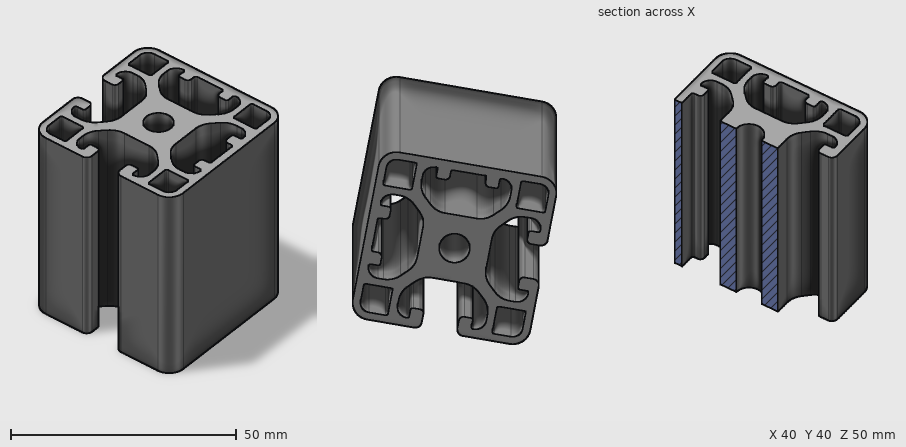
import cadquery as cq
import math

SIDE = 40.0
LENGTH = 50.0
CORNER_RADIUS = 4.0
BORE_DIAMETER = 6.8

BOX_WALL = 1.75
BOX_SIZE = 6.5
BOX_OUTER_RADIUS = CORNER_RADIUS - BOX_WALL
BOX_INNER_RADIUS = 0.5

HALF_SIDE = SIDE / 2
SLOT_FLOOR = 7.75
SLOT_HALF_WIDTH = 10.0
SLOT_CEILING = HALF_SIDE - 2.0
MOUTH_HALF_WIDTH = 4.0
LIP_OUTER = MOUTH_HALF_WIDTH + 3.0
LIP_TIP = HALF_SIDE - 4.5
DIAGONAL_WEB = 3.0
FLANK_OFFSET = DIAGONAL_WEB / math.sqrt(2)

FLANK_RADIUS = 5.0
SHOULDER_RADIUS = 2.5
ROOT_RADIUS = 0.5
LIP_INNER_RADIUS = 1.0
LIP_OUTER_RADIUS = 0.5
MOUTH_RADIUS = 1.5

MIN_STRAIGHT = 0.0005


def rounded_prism(corners):
    """Extrude a closed polygon of (x, y, radius) corners, rounding each with a tangent arc."""
    outline = None
    previous_end = None
    count = len(corners)
    for i, (x, y, radius) in enumerate(corners):
        corner = cq.Vector(x, y)
        to_previous = (cq.Vector(*corners[i - 1][:2]) - corner).normalized()
        to_next = (cq.Vector(*corners[(i + 1) % count][:2]) - corner).normalized()
        half_angle = to_previous.getAngle(to_next) / 2
        tangent_length = radius / math.tan(half_angle)
        arc_depth = radius / math.sin(half_angle) - radius
        start = corner + to_previous * tangent_length
        middle = corner + (to_previous + to_next).normalized() * arc_depth
        end = corner + to_next * tangent_length
        if outline is None:
            outline = cq.Workplane("XY").moveTo(start.x, start.y)
        elif (start - previous_end).Length > MIN_STRAIGHT:
            outline = outline.lineTo(start.x, start.y)
        if radius > 0:
            outline = outline.threePointArc((middle.x, middle.y), (end.x, end.y))
        previous_end = end
    return outline.close().extrude(LENGTH)


def slot(is_open):
    """Slot void on the +Y side, either open to the outside or closed by the outer wall."""
    mouth_end = HALF_SIDE if is_open else SLOT_CEILING
    mouth_end_radius = 0.0 if is_open else ROOT_RADIUS
    right_half = [
        (SLOT_FLOOR - FLANK_OFFSET, SLOT_FLOOR, FLANK_RADIUS),
        (SLOT_HALF_WIDTH, SLOT_HALF_WIDTH + FLANK_OFFSET, FLANK_RADIUS),
        (SLOT_HALF_WIDTH, SLOT_CEILING, SHOULDER_RADIUS),
        (LIP_OUTER, SLOT_CEILING, ROOT_RADIUS),
        (LIP_OUTER, LIP_TIP, LIP_OUTER_RADIUS),
        (MOUTH_HALF_WIDTH, LIP_TIP, LIP_INNER_RADIUS),
        (MOUTH_HALF_WIDTH, mouth_end, mouth_end_radius),
    ]
    left_half = [(-x, y, radius) for x, y, radius in reversed(right_half)]
    return rounded_prism(right_half + left_half)


def corner_box():
    """Hollow in the +X +Y corner, with its largest radius concentric with the outer corner."""
    outer = HALF_SIDE - BOX_WALL
    inner = outer - BOX_SIZE
    return rounded_prism([
        (inner, inner, BOX_INNER_RADIUS),
        (outer, inner, BOX_INNER_RADIUS),
        (outer, outer, BOX_OUTER_RADIUS),
        (inner, outer, BOX_INNER_RADIUS),
    ])


def turned(shape, angle):
    """Rotate a shape about the profile axis."""
    return shape.rotate((0, 0, 0), (0, 0, 1), angle)


body = cq.Workplane("XY").rect(SIDE, SIDE).extrude(LENGTH).edges("|Z").fillet(CORNER_RADIUS)
body = body.cut(cq.Workplane("XY").circle(BORE_DIAMETER / 2).extrude(LENGTH))

for angle, is_open in ((0, False), (90, True), (180, True), (270, False)):
    body = body.cut(turned(slot(is_open), angle))
    body = body.cut(turned(corner_box(), angle))

for offset in (-MOUTH_HALF_WIDTH, MOUTH_HALF_WIDTH):
    for x, y in ((offset, -HALF_SIDE), (-HALF_SIDE, offset)):
        mouth_edge = cq.selectors.NearestToPointSelector((x, y, LENGTH / 2))
        body = body.edges(mouth_edge).fillet(MOUTH_RADIUS)

result = body